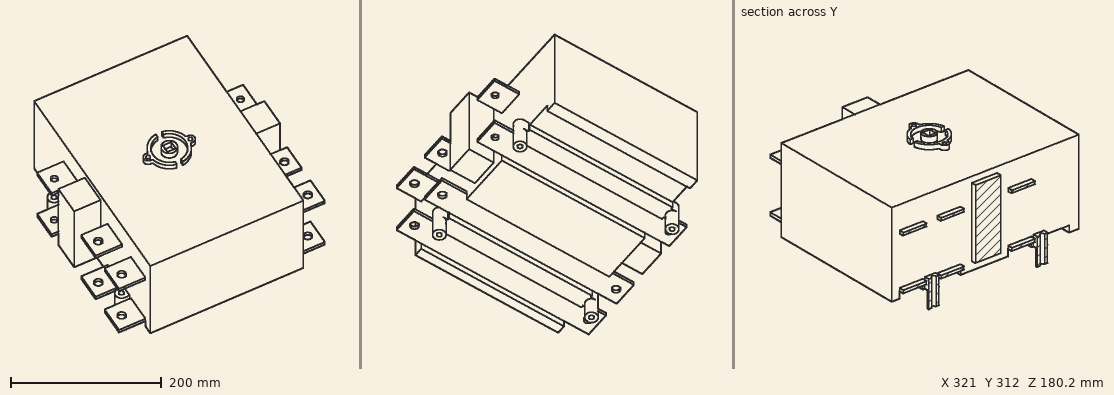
import cadquery as cq

BODY_LENGTH = 321.0
BODY_CENTER_X = -1.5
BODY_DEPTH = 232.0
BODY_HEIGHT = 142.5
BODY_FACE = BODY_DEPTH / 2

OVERALL_DEPTH = 312.0
TIP = OVERALL_DEPTH / 2

POLE_PITCH = 64.5
LEFT_INNER_POLE_X = -60.5
LEFT_OUTER_POLE_X = LEFT_INNER_POLE_X - POLE_PITCH
RIGHT_INNER_POLE_X = 61.0
RIGHT_OUTER_POLE_X = RIGHT_INNER_POLE_X + POLE_PITCH
POLE_CENTERS = [LEFT_OUTER_POLE_X, LEFT_INNER_POLE_X, RIGHT_INNER_POLE_X, RIGHT_OUTER_POLE_X]
POLE_WIDTH = 40.0
CHANNEL_HEIGHT = 11.0

TERMINAL_HOLE_DIAMETERS = {
    LEFT_INNER_POLE_X: 10.0,
    RIGHT_INNER_POLE_X: 12.0,
    RIGHT_OUTER_POLE_X: 12.0,
}
TERMINAL_HOLE_INSET = 15.0
LOWER_TERMINAL_BOTTOM = CHANNEL_HEIGHT
LOWER_TERMINAL_THICKNESS = 5.5
UPPER_TERMINAL_BOTTOM = 98.5
UPPER_TERMINAL_THICKNESS = 5.0
TERMINAL_LEVELS = [
    (LOWER_TERMINAL_BOTTOM, LOWER_TERMINAL_THICKNESS),
    (UPPER_TERMINAL_BOTTOM, UPPER_TERMINAL_THICKNESS),
]

BLOCK_WIDTH = 43.5
BLOCK_BOTTOM = 14.25
BLOCK_TOP = 132.75

POST_X = 93.0
POST_CENTER_Y = 123.5
POST_DIAMETER = 18.0
POST_HOLE_DIAMETER = 7.0
POST_DROP = 28.0
LUG_HEIGHT = 18.25

HUB_DIAMETER = 22.0
HUB_HEIGHT = 9.75
SOCKET_SIDE = 12.5

RING_OUTER_DIAMETER = 59.0
RING_INNER_DIAMETER = 49.0
RING_HEIGHT = 7.5
RING_GAP = 9.0
EAR_OFFSET = 32.0
EAR_DIAMETER = 13.0
EAR_HOLE_DIAMETER = 6.0
EAR_FILLET = 2.0


def block(x_center, width, y_start, y_end, z_bottom, z_top):
    """Box given by its X centre and width and by its Y and Z limits."""
    return (
        cq.Workplane("XY")
        .box(width, y_end - y_start, z_top - z_bottom, centered=(True, False, False))
        .translate((x_center, y_start, z_bottom))
    )


def cylinder(x, y, diameter, z_bottom, z_top):
    """Upright cylinder."""
    return (
        cq.Workplane("XY", origin=(x, y, z_bottom))
        .circle(diameter / 2)
        .extrude(z_top - z_bottom)
    )


def make_housing():
    """Main box with one channel per pole running through its underside."""
    housing = block(BODY_CENTER_X, BODY_LENGTH, -BODY_FACE, BODY_FACE, 0, BODY_HEIGHT)
    for center in POLE_CENTERS:
        housing = housing.cut(block(center, POLE_WIDTH, -BODY_FACE, BODY_FACE, 0, CHANNEL_HEIGHT))
    return housing


def make_terminal(center, hole_diameter, z_bottom, thickness):
    """Drilled plate standing out of the back face."""
    z_top = z_bottom + thickness
    plate = block(center, POLE_WIDTH, BODY_FACE, TIP, z_bottom, z_top)
    hole_y = TIP - TERMINAL_HOLE_INSET
    return plate.cut(cylinder(center, hole_y, hole_diameter, z_bottom, z_top))


def make_post(x):
    """Round post, joined to the back face by a straight-sided lug."""
    lug = block(x, POST_DIAMETER, BODY_FACE, POST_CENTER_Y, 0, LUG_HEIGHT)
    return lug.union(cylinder(x, POST_CENTER_Y, POST_DIAMETER, -POST_DROP, LUG_HEIGHT))


def make_back_fittings():
    """Everything attached to the back face."""
    fittings = block(0, BLOCK_WIDTH, BODY_FACE, TIP, BLOCK_BOTTOM, BLOCK_TOP)
    for center, hole_diameter in TERMINAL_HOLE_DIAMETERS.items():
        for z_bottom, thickness in TERMINAL_LEVELS:
            fittings = fittings.add(make_terminal(center, hole_diameter, z_bottom, thickness))
    for x in (-POST_X, POST_X):
        fittings = fittings.add(make_post(x))
    return fittings.combine()


def drill_posts(part):
    """Bore every post from end to end."""
    for x in (-POST_X, POST_X):
        for y in (-POST_CENTER_Y, POST_CENTER_Y):
            part = part.cut(cylinder(x, y, POST_HOLE_DIAMETER, -POST_DROP, LUG_HEIGHT))
    return part


def make_hub():
    """Round hub with a square socket as deep as the hub is tall."""
    hub_top = BODY_HEIGHT + HUB_HEIGHT
    half_side = SOCKET_SIDE / 2
    hub = cylinder(0, 0, HUB_DIAMETER, BODY_HEIGHT, hub_top)
    return hub.cut(block(0, SOCKET_SIDE, -half_side, half_side, BODY_HEIGHT, hub_top))


def make_ring():
    """Ring with two drilled ears, split by a gap along X."""
    ring_top = BODY_HEIGHT + RING_HEIGHT
    ear_ys = (-EAR_OFFSET, EAR_OFFSET)
    ring = cylinder(0, 0, RING_OUTER_DIAMETER, BODY_HEIGHT, ring_top)
    for y in ear_ys:
        ring = ring.union(cylinder(0, y, EAR_DIAMETER, BODY_HEIGHT, ring_top))
    junctions = cq.selectors.BoxSelector(
        (-EAR_DIAMETER, -EAR_OFFSET, BODY_HEIGHT),
        (EAR_DIAMETER, EAR_OFFSET, ring_top),
    )
    ring = ring.edges("|Z").edges(junctions).fillet(EAR_FILLET)
    for y in ear_ys:
        ring = ring.cut(cylinder(0, y, EAR_HOLE_DIAMETER, BODY_HEIGHT, ring_top))
    ring = ring.cut(cylinder(0, 0, RING_INNER_DIAMETER, BODY_HEIGHT, ring_top))
    half_gap = RING_GAP / 2
    return ring.cut(block(0, RING_OUTER_DIAMETER, -half_gap, half_gap, BODY_HEIGHT, ring_top))


back_fittings = make_back_fittings()
front_fittings = back_fittings.mirror("XZ")
part = make_housing().union(back_fittings).union(front_fittings)
part = drill_posts(part)
result = part.union(make_hub()).union(make_ring())